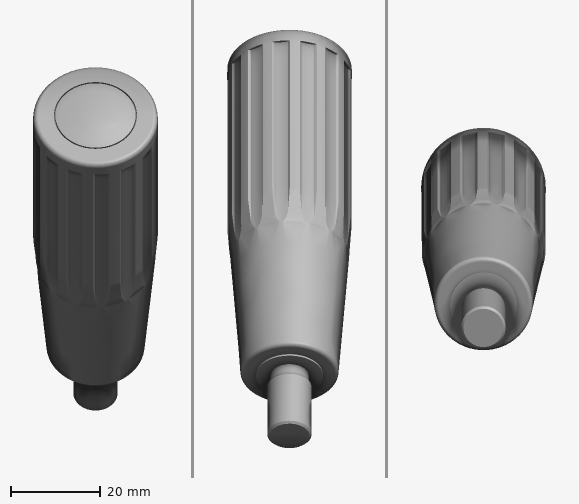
import cadquery as cq
import math

overall_height = 105.9

stud_diameter = 10.0
stud_tip_chamfer = 0.48
neck_diameter = 8.8
neck_bottom = 13.8
collar_diameter = 15.0
collar_bottom = 16.9

grip_diameter = 28.0
grip_base_diameter = 21.9
grip_bottom = 17.4
grip_top = 104.7
taper_top = 59.1
taper_blend_radius = 9.0
base_round = 1.0
top_round = 1.1

cap_diameter = 18.0
cap_gap = 0.3
cap_seat_depth = 0.6

flute_count = 14
flute_top = 101.2
flute_depth = 0.6
flute_floor_width = 3.0
flute_floor_hollow = 0.1
flute_mouth_width = 4.3
first_flute_angle = -90.0

grip_radius = grip_diameter / 2
base_radius = grip_base_diameter / 2
cap_radius = cap_diameter / 2
cap_seat = grip_top - cap_seat_depth


def make_stud():
    """Stud with a relieved neck and a small collar under the grip."""
    stud = cq.Workplane("XY").circle(stud_diameter / 2).extrude(neck_bottom)
    stud = stud.faces("<Z").chamfer(stud_tip_chamfer)
    neck = (
        cq.Workplane("XY", origin=(0, 0, neck_bottom))
        .circle(neck_diameter / 2)
        .extrude(grip_bottom - neck_bottom)
    )
    collar = (
        cq.Workplane("XY", origin=(0, 0, collar_bottom))
        .circle(collar_diameter / 2)
        .extrude(grip_bottom - collar_bottom)
    )
    return stud.union(neck).union(collar)


def make_grip():
    """Cylinder over a taper, blended where they meet and rounded at both ends."""
    taper_angle = math.atan2(grip_radius - base_radius, taper_top - grip_bottom)
    blend_setback = taper_blend_radius * math.tan(taper_angle / 2)
    blend_centre_radius = grip_radius - taper_blend_radius
    blend_top = taper_top + blend_setback

    def blend_point(angle):
        return (
            blend_centre_radius + taper_blend_radius * math.cos(angle),
            blend_top - taper_blend_radius * math.sin(angle),
        )

    profile = (
        cq.Workplane("XZ")
        .moveTo(0, grip_bottom)
        .lineTo(base_radius, grip_bottom)
        .lineTo(*blend_point(taper_angle))
        .threePointArc(blend_point(taper_angle / 2), (grip_radius, blend_top))
        .lineTo(grip_radius, grip_top)
        .lineTo(0, grip_top)
        .close()
    )
    grip = profile.revolve(360, (0, 0, 0), (0, 1, 0))
    return grip.faces("<Z").edges().fillet(base_round).faces(">Z").edges().fillet(top_round)


def make_cap_seat():
    """Shallow round recess in the top of the grip, a little wider than the cap."""
    return (
        cq.Workplane("XY", origin=(0, 0, cap_seat))
        .circle(cap_radius + cap_gap)
        .extrude(cap_seat_depth)
    )


def make_cap():
    """Disc with a spherical top, filling the recess except for a thin gap."""
    dome_rise = overall_height - grip_top
    dome_radius = (cap_radius**2 + dome_rise**2) / (2 * dome_rise)
    mid_radius = cap_radius / 2
    mid_height = overall_height - dome_radius + math.sqrt(dome_radius**2 - mid_radius**2)
    return (
        cq.Workplane("XZ")
        .moveTo(0, cap_seat)
        .lineTo(cap_radius, cap_seat)
        .lineTo(cap_radius, grip_top)
        .threePointArc((mid_radius, mid_height), (0, overall_height))
        .close()
        .revolve(360, (0, 0, 0), (0, 1, 0))
    )


def make_flute():
    """Flute cutter with a slightly hollow floor and sloping walls; it runs out down the taper."""
    floor_radius = grip_radius - flute_depth
    floor_edge_radius = floor_radius + flute_floor_hollow
    floor_half_width = flute_floor_width / 2
    mouth_half_width = flute_mouth_width / 2
    wall_slope = (mouth_half_width - floor_half_width) / (grip_radius - floor_edge_radius)
    outer_radius = grip_radius + flute_depth
    outer_half_width = mouth_half_width + wall_slope * flute_depth
    return (
        cq.Workplane("XY", origin=(0, 0, grip_bottom))
        .moveTo(floor_edge_radius, -floor_half_width)
        .lineTo(outer_radius, -outer_half_width)
        .lineTo(outer_radius, outer_half_width)
        .lineTo(floor_edge_radius, floor_half_width)
        .threePointArc((floor_radius, 0), (floor_edge_radius, -floor_half_width))
        .close()
        .extrude(flute_top - grip_bottom)
    )


grip = make_grip()
for index in range(flute_count):
    flute_angle = first_flute_angle + index * 360 / flute_count
    grip = grip.cut(make_flute().rotate((0, 0, 0), (0, 0, 1), flute_angle))

grip = grip.cut(make_cap_seat()).union(make_cap())
result = grip.union(make_stud())